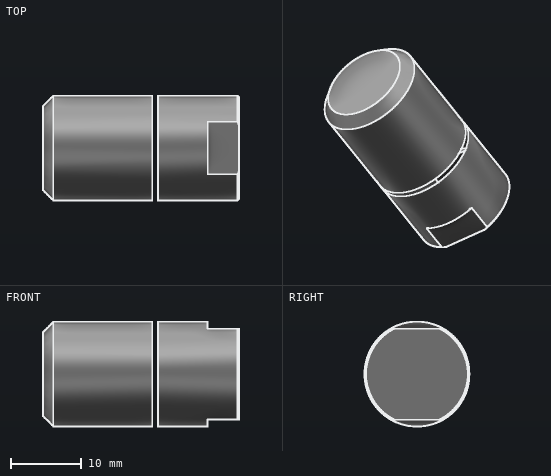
import cadquery as cq

length = 28.0
diameter = 15.0
radius = diameter / 2
nose_chamfer = 1.5
end_chamfer = 0.25

groove_center = 16.02
groove_radius = 0.4

flat_length = 4.5
across_flats = 13.0


def make_body():
    body = cq.Workplane("YZ").circle(radius).extrude(length)
    body = body.faces("<X").chamfer(nose_chamfer)
    return body.faces(">X").chamfer(end_chamfer)


def make_groove_ring():
    section = cq.Workplane("XY").center(groove_center, radius).circle(groove_radius)
    return section.revolve(360, (0, -radius), (1, -radius))


def make_flat_cutter(side):
    flat_depth = (diameter - across_flats) / 2
    middle_z = side * (radius - flat_depth / 2)
    cutter = cq.Workplane("XY").box(flat_length, diameter, flat_depth)
    return cutter.translate((length - flat_length / 2, 0, middle_z))


result = make_body().cut(make_groove_ring())
for side in (-1, 1):
    result = result.cut(make_flat_cutter(side))